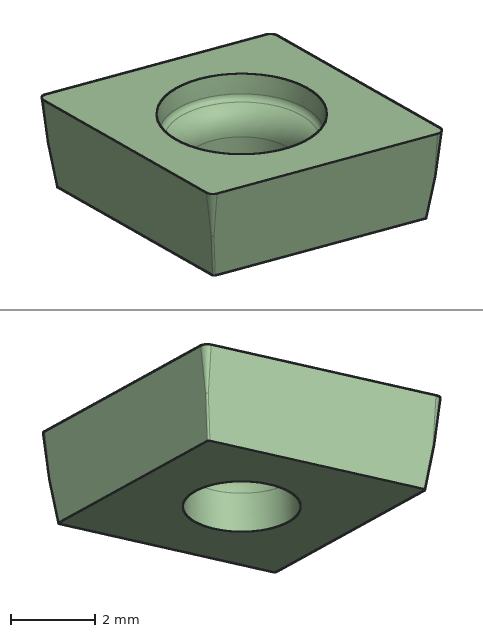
import cadquery as cq
import math

width_across_flats = 6.35
thickness = 2.38
corner_angle = math.radians(80)
relief_angle = math.radians(7)

top_corner_radius = 0.2
bottom_corner_radius = 0.05

bore_radius = 2.8 / 2
seat_radius = 0.77
seat_depth = 1.37
seat_sweep = math.radians(65)
blend_radius = 0.2
wall_taper = math.radians(7)

cone_depth = (top_corner_radius - bottom_corner_radius) / math.tan(relief_angle)


def section(depth, corner_radius):
    """Rounded rhombus of the body at a depth below the top face."""
    half_width = width_across_flats / 2 - depth * math.tan(relief_angle)
    half_side = half_width / math.sin(corner_angle)
    lean = half_width / math.tan(corner_angle)
    corners = [
        (-half_side - lean, -half_width),
        (half_side - lean, -half_width),
        (half_side + lean, half_width),
        (-half_side + lean, half_width),
    ]
    outline = cq.Sketch().polygon(corners + corners[:1]).vertices().fillet(corner_radius)
    return outline.moved(cq.Location(cq.Vector(0, 0, thickness - depth)))


def body_layer(lower, upper):
    return cq.Workplane("XY").placeSketch(lower, upper).loft(ruled=True)


def polar(center, radius, angle):
    """Point at an angle above the inward radial direction."""
    return (center[0] - radius * math.cos(angle), center[1] + radius * math.sin(angle))


def screw_hole():
    """Revolved hole; profile points are (radius, Z)."""
    seat_center = (bore_radius + seat_radius, thickness - seat_depth)
    seat_bottom = (bore_radius, seat_center[1])
    seat_middle = polar(seat_center, seat_radius, seat_sweep / 2)
    seat_top = polar(seat_center, seat_radius, seat_sweep)

    blend_center = polar(seat_center, seat_radius + blend_radius, seat_sweep)
    blend_middle = polar(blend_center, -blend_radius, (seat_sweep + wall_taper) / 2)
    wall_bottom = polar(blend_center, -blend_radius, wall_taper)
    rim_radius = wall_bottom[0] + (thickness - wall_bottom[1]) * math.tan(wall_taper)

    return (
        cq.Workplane("XZ")
        .lineTo(bore_radius, 0)
        .lineTo(*seat_bottom)
        .threePointArc(seat_middle, seat_top)
        .threePointArc(blend_middle, wall_bottom)
        .lineTo(rim_radius, thickness)
        .lineTo(0, thickness)
        .close()
        .revolve(360, (0, 0, 0), (0, 1, 0))
    )


top_section = section(0, top_corner_radius)
cone_end_section = section(cone_depth, bottom_corner_radius)
bottom_section = section(thickness, bottom_corner_radius)

body = body_layer(cone_end_section, top_section).union(
    body_layer(bottom_section, cone_end_section), clean=False
)
result = body.clean().cut(screw_hole())